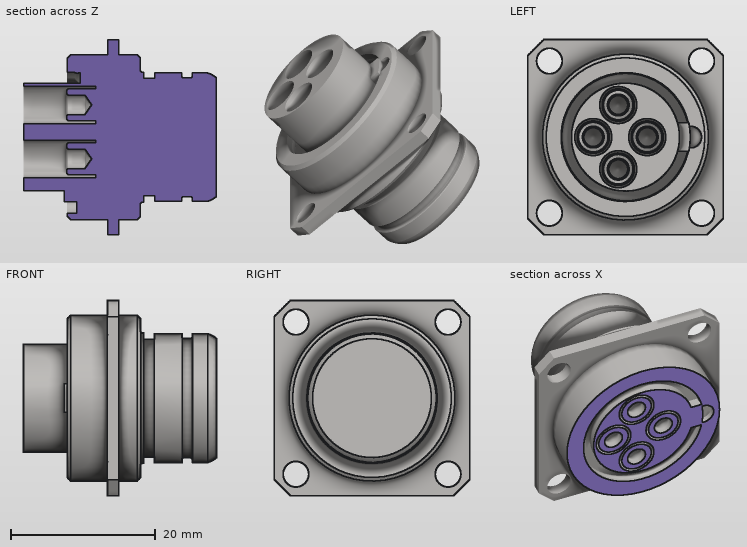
import cadquery as cq
import math


insert_radius = 7.45
overall_length = 26.7

shell_front = 6.05
shell_rear = 16.2
shell_radius = 11.45
shell_chamfer = 0.5
cavity_radius = 8.9
cavity_depth = 1.8
bead_tube_radius = 0.7
bead_height = 0.1
bead_setback = 1.4

flange_front = 11.6
flange_thickness = 1.6
flange_size = 27.0
flange_corner = 2.25
mount_hole_pitch = 21.0
mount_hole_diameter = 3.5

collar_rear = 16.65
collar_radius = 9.0
collar_fillet = 0.25
neck_radius = 8.15
band_front = 18.1
band_radius = 8.9
groove_front = 21.92
groove_rear = 23.3
groove_radius = 8.26
groove_fillet = 0.15
groove_edge_chamfer = 0.08
nose_length = 1.25
nose_end_radius = 8.2
nose_bulge = 0.08

key_front = 5.65
key_width = 3.94
key_radius = 8.95
notch_radius = 1.5
notch_center_y = -9.0
notch_depth = 1.3

contact_side_y = 1.0
contact_side_z = 4.43
contact_positions = [
    (4.45, 0),
    (-3.0, 0),
    (contact_side_y, contact_side_z),
    (contact_side_y, -contact_side_z),
]
contact_well_radius = 2.56
contact_well_depth = 10.0
contact_radius = 2.24
contact_length = 4.0
contact_chamfer = 0.2
contact_bore_radius = 1.5
contact_bore_chamfer = 0.2
contact_bore_depth = 2.5
contact_tip_depth = 0.9


def revolve_about_x(profile):
    """Close an XY profile and turn it fully about the X axis."""
    return profile.close().revolve(360, (0, 0, 0), (1, 0, 0))


def disc(x_start, length, radius):
    """Cylinder along X, starting at x_start."""
    return cq.Workplane("YZ", origin=(x_start, 0, 0)).circle(radius).extrude(length)


def make_body():
    """Shell, collar, neck, grooved band and rounded nose as one turned solid."""
    nose_start = overall_length - nose_length
    nose_middle = (
        nose_start + nose_length / 2,
        -(band_radius + nose_end_radius) / 2 - nose_bulge,
    )
    fillet_mid = collar_fillet * (1 - math.sqrt(0.5))
    groove_mid = groove_fillet * (1 - math.sqrt(0.5))
    profile = (
        cq.Workplane("XY")
        .moveTo(shell_front, 0)
        .lineTo(shell_front, -shell_radius + shell_chamfer)
        .lineTo(shell_front + shell_chamfer, -shell_radius)
        .lineTo(shell_rear - shell_chamfer, -shell_radius)
        .lineTo(shell_rear, -shell_radius + shell_chamfer)
        .lineTo(shell_rear, -collar_radius - collar_fillet)
        .threePointArc(
            (shell_rear + fillet_mid, -collar_radius - fillet_mid),
            (shell_rear + collar_fillet, -collar_radius),
        )
        .lineTo(collar_rear, -collar_radius)
        .lineTo(collar_rear, -neck_radius)
        .lineTo(band_front, -neck_radius)
        .lineTo(band_front, -band_radius)
        .lineTo(groove_front, -band_radius)
        .lineTo(groove_front, -groove_radius - groove_fillet)
        .threePointArc(
            (groove_front + groove_mid, -groove_radius - groove_mid),
            (groove_front + groove_fillet, -groove_radius),
        )
        .lineTo(groove_rear - groove_fillet, -groove_radius)
        .threePointArc(
            (groove_rear - groove_mid, -groove_radius - groove_mid),
            (groove_rear, -groove_radius - groove_fillet),
        )
        .lineTo(groove_rear, -band_radius + groove_edge_chamfer)
        .lineTo(groove_rear + groove_edge_chamfer, -band_radius)
        .lineTo(nose_start, -band_radius)
        .threePointArc(nose_middle, (overall_length, -nose_end_radius))
        .lineTo(overall_length, 0)
    )
    return revolve_about_x(profile)


def make_flange():
    """Square flange with cut corners and four mounting holes."""
    return (
        cq.Workplane("YZ", origin=(flange_front, 0, 0))
        .rect(flange_size, flange_size)
        .extrude(flange_thickness)
        .edges("|X")
        .chamfer(flange_corner)
        .faces("<X")
        .workplane(origin=(flange_front, 0, 0))
        .rect(mount_hole_pitch, mount_hole_pitch, forConstruction=True)
        .vertices()
        .hole(mount_hole_diameter)
    )


def make_cavity():
    """Round cavity in the shell mouth, narrowed near its floor by a rounded sealing bead."""
    bead_x = shell_front + bead_setback
    bead_ring_radius = cavity_radius - bead_height + bead_tube_radius
    bead = (
        cq.Workplane("XY")
        .center(bead_x, -bead_ring_radius)
        .circle(bead_tube_radius)
        .revolve(360, (0, bead_ring_radius, 0), (1, bead_ring_radius, 0))
    )
    return disc(shell_front, cavity_depth, cavity_radius).cut(bead)


def make_notch():
    """Round-bottomed notch in the cavity wall beside the key."""
    return (
        cq.Workplane("YZ", origin=(shell_front, notch_center_y, 0))
        .circle(notch_radius)
        .extrude(notch_depth)
    )


def make_insert():
    """Insert cylinder with its key, reaching to the cavity floor."""
    cavity_floor = shell_front + cavity_depth
    key_length = cavity_floor - key_front
    key_block = cq.Workplane("XY").box(
        key_length, key_radius, key_width, centered=(False, False, True)
    )
    key_block = key_block.translate((key_front, -key_radius, 0))
    key = key_block.intersect(disc(key_front, key_length, key_radius))
    return disc(0, cavity_floor, insert_radius).union(key)


def make_contact():
    """Socket contact on the X axis, with a chamfered, cone-bottomed bore."""
    front = contact_well_depth - contact_length
    bore_inner = contact_bore_radius - contact_bore_chamfer
    bore_end = front + contact_bore_depth
    profile = (
        cq.Workplane("XY")
        .moveTo(contact_well_depth, 0)
        .lineTo(contact_well_depth, -contact_radius)
        .lineTo(front + contact_chamfer, -contact_radius)
        .lineTo(front, -contact_radius + contact_chamfer)
        .lineTo(front, -contact_bore_radius)
        .lineTo(front + contact_bore_chamfer, -bore_inner)
        .lineTo(bore_end, -bore_inner)
        .lineTo(bore_end + contact_tip_depth, 0)
    )
    return revolve_about_x(profile)


result = make_body().union(make_flange())
result = result.cut(make_cavity()).cut(make_notch()).union(make_insert())

contact_well = disc(0, contact_well_depth, contact_well_radius)
contact = make_contact()
for y, z in contact_positions:
    result = result.cut(contact_well.translate((0, y, z)))
    result = result.union(contact.translate((0, y, z)))